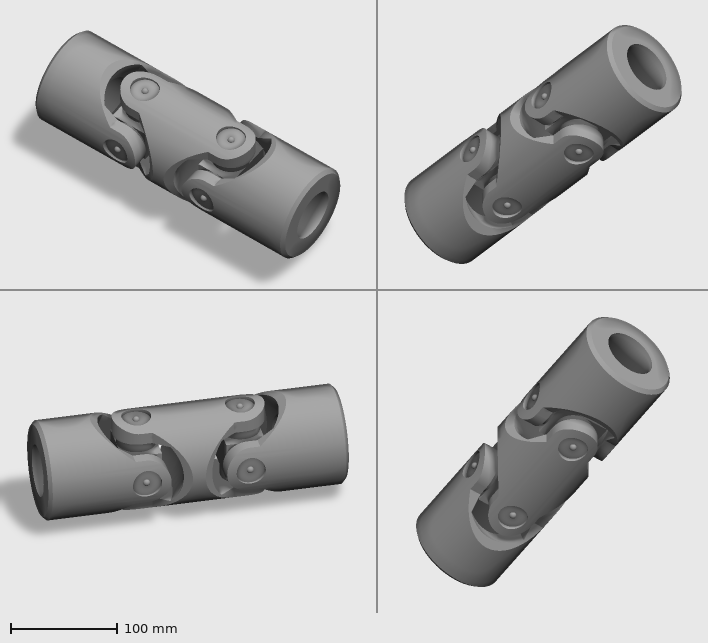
import cadquery as cq
import math


overall_length = 290.0
body_diameter = 95.0
joint_spacing = 100.0
body_radius = body_diameter / 2
joint_x = joint_spacing / 2

bore_diameter = 50.0
end_chamfer = 3.5

lug_radius = 23.2
lug_straight = 10.2
taper_end = 43.8
slot_width = 60.0
slot_end_radius = 44.7
barrel_radius = 110.2
fork_margin = 5.8

pin_diameter = 28.0
pin_reach = 43.2
shoulder_diameter = 38.0
block_y = 51.3
dome_diameter = 6.7

pin_angles = (0, 90, 180, 270)


def x_cylinder(diameter, x_start, x_end):
    """Round bar along X between two X positions."""
    return cq.Workplane("YZ", origin=(x_start, 0, 0)).circle(diameter / 2).extrude(x_end - x_start)


def lug_side_cutter():
    """Metal removed around the side outline of the lugs, which point to +X from a joint at the origin."""
    tip = lug_radius + fork_margin
    height = body_diameter + 2 * fork_margin
    surround = cq.Workplane("XY").box(taper_end + tip, height, body_diameter).translate(
        ((tip - taper_end) / 2, 0, 0)
    )
    lug_outline = (
        cq.Workplane("XZ")
        .moveTo(-taper_end, body_radius)
        .lineTo(-lug_straight, lug_radius)
        .lineTo(0, lug_radius)
        .threePointArc((lug_radius, 0), (0, -lug_radius))
        .lineTo(-lug_straight, -lug_radius)
        .lineTo(-taper_end, -body_radius)
        .close()
        .extrude(height / 2, both=True)
    )
    return surround.cut(lug_outline)


def slot_cutter():
    """Slot between the lugs, open along Z, with a barrel-shaped end about the Z axis of the joint."""
    half_height = body_radius + fork_margin
    end_radius = slot_end_radius - barrel_radius + math.sqrt(barrel_radius**2 - half_height**2)
    tip = lug_radius + fork_margin
    barrel = (
        cq.Workplane("XZ")
        .moveTo(0, -half_height)
        .lineTo(end_radius, -half_height)
        .threePointArc((slot_end_radius, 0), (end_radius, half_height))
        .lineTo(0, half_height)
        .close()
        .revolve(360, (0, 0, 0), (0, 1, 0))
    )
    slab = cq.Workplane("XY").box(4 * slot_end_radius, slot_width, 2 * half_height)
    mouth = cq.Workplane("XY").box(tip, slot_width, 2 * half_height).translate((tip / 2, 0, 0))
    return barrel.intersect(slab).union(mouth)


def pin_hole_cutter():
    """Pin hole through both lugs, along Y."""
    return cq.Workplane("XZ").circle(pin_diameter / 2).extrude(body_radius + fork_margin, both=True)


def cut_fork(body):
    """Cuts a fork into a round body: lugs on +Y and -Y, pointing to +X, joint axis at the origin."""
    return body.cut(lug_side_cutter()).cut(slot_cutter()).cut(pin_hole_cutter())


def make_end_yoke(side):
    """End yoke with its bore; side is -1 for the -X end and +1 for the +X end."""
    outer_x = joint_x - overall_length / 2
    yoke = x_cylinder(body_diameter, outer_x, lug_radius + fork_margin / 2)
    yoke = yoke.faces("<X").chamfer(end_chamfer)
    yoke = yoke.cut(x_cylinder(bore_diameter, outer_x, 0))
    yoke = cut_fork(yoke).translate((-joint_x, 0, 0))
    return yoke if side < 0 else yoke.mirror("YZ")


def make_middle_yoke():
    """Middle yoke with a fork at each end, its lugs on +Z and -Z."""
    half = cut_fork(x_cylinder(body_diameter, -joint_x, lug_radius + fork_margin / 2))
    half = half.translate((joint_x, 0, 0)).rotate((0, 0, 0), (1, 0, 0), 90)
    return half.union(half.mirror("YZ"))


def make_pin():
    """Shouldered pin along +Z from the joint centre, with a small round dome on its end face."""
    shoulder = cq.Workplane("XY").circle(shoulder_diameter / 2).extrude(slot_width / 2)
    pin = cq.Workplane("XY").circle(pin_diameter / 2).extrude(pin_reach)
    dome = cq.Workplane("XY").sphere(dome_diameter / 2).translate((0, 0, pin_reach))
    return shoulder.union(pin).union(dome)


def make_cross(side):
    """Cross of a central block and four pins at one joint."""
    cross = cq.Workplane("XY").box(shoulder_diameter, block_y, shoulder_diameter)
    for angle in pin_angles:
        cross = cross.union(make_pin().rotate((0, 0, 0), (1, 0, 0), angle))
    return cross.translate((side * joint_x, 0, 0))


end_yokes = [make_end_yoke(side) for side in (-1, 1)]
middle_yoke = make_middle_yoke()
crosses = [make_cross(side) for side in (-1, 1)]

result = cq.Compound.makeCompound(
    [yoke.val() for yoke in end_yokes] + [middle_yoke.val()] + [cross.val() for cross in crosses]
)